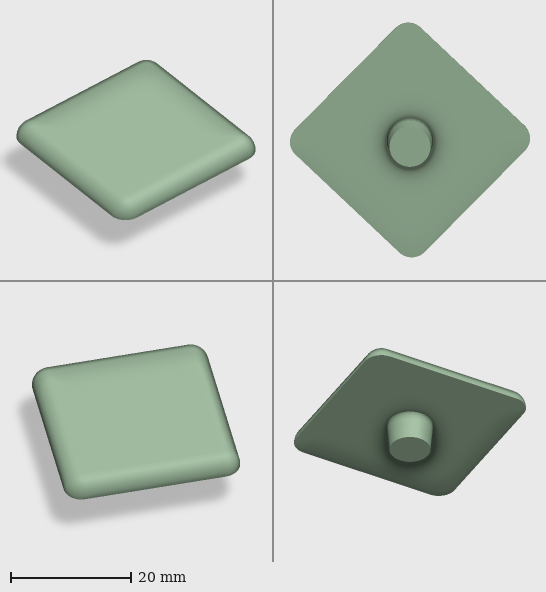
import cadquery as cq

cap_side = 30.0
cap_height = 3.0
edge_radius = cap_height

stem_length = 5.0
stem_top_diameter = 7.7
stem_draft_angle = 5.0


def make_cap():
    """Square cap with quarter-round sides and ball-shaped corners, flat underside at Z = 0."""
    spare_height = 1.0
    block = (
        cq.Workplane("XY")
        .workplane(offset=-spare_height)
        .rect(cap_side, cap_side)
        .extrude(cap_height + spare_height)
        .edges("|Z or >Z")
        .fillet(edge_radius)
    )
    spare_layer = (
        cq.Workplane("XY")
        .rect(cap_side, cap_side)
        .extrude(-spare_height)
    )
    return block.cut(spare_layer)


def make_stem():
    """Solid round stem hanging from the cap's underside and narrowing downwards."""
    return (
        cq.Workplane("XY")
        .circle(stem_top_diameter / 2)
        .extrude(-stem_length, taper=stem_draft_angle)
    )


result = make_cap().union(make_stem())